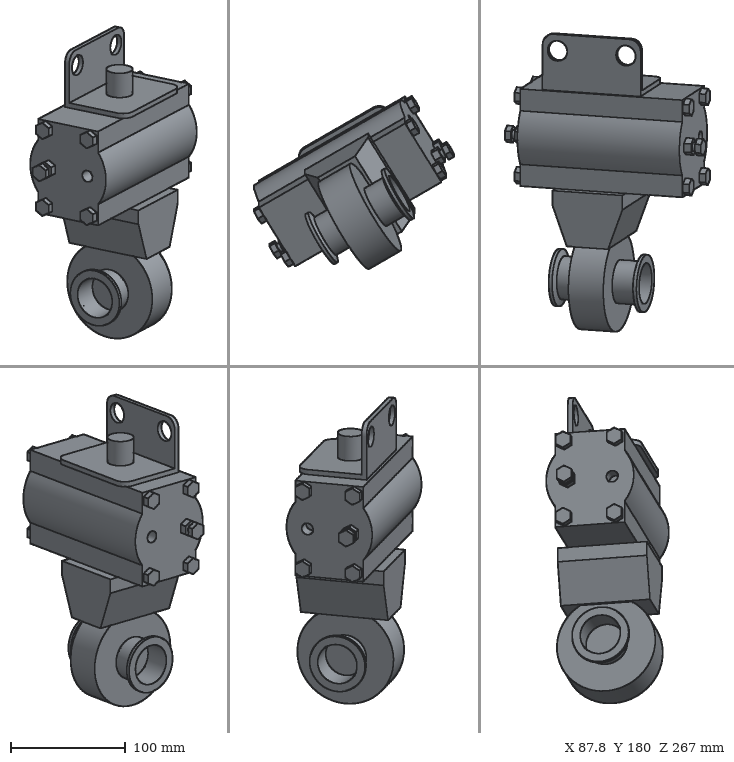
import cadquery as cq
import math


valve_diameter = 87.8
valve_width = 32.0
valve_z = valve_diameter / 2
valve_length = 80.6
tube_diameter = 38.2
bore_diameter = 35.8
bore_depth = (valve_length - valve_width) / 2
flange_diameter = 50.5
flange_rim = 3.2
flange_taper = 2.1

block_length = 79.5
block_top_width = 64.3
block_bottom_width = 38.0
block_bottom_z = 81.2
block_shoulder_height = 36.0
block_height = 48.9
block_top_z = block_bottom_z + block_height

actuator_y = -10.0
actuator_length = 148.7
actuator_width = 62.0
actuator_height = 86.8
cylinder_diameter = 78.2
actuator_z = block_top_z + actuator_height / 2
actuator_top_z = block_top_z + actuator_height

hex_across_flats = 13.0
hex_across_corners = hex_across_flats * 2 / math.sqrt(3)
bolt_head_height = 6.0
bolt_spacing_x = 45.7
bolt_spacing_z = 71.0
screw_to_port = 39.8
lock_nut_height = 6.7
screw_diameter = 8.0
screw_gap = 3.5
overall_length = 180.0
screw_head_height = (overall_length - actuator_length) / 2 - lock_nut_height - screw_gap
port_diameter = 10.5
port_depth = 13.4

stem_diameter = 23.0
stem_top_z = 243.8

bracket_thickness = 4.5
bracket_left_x = -28.0
bracket_right_x = 35.5
bracket_width = 90.0
bracket_top_z = 267.0
bracket_corner_radius = 10.0
bracket_hole_diameter = 18.0
bracket_hole_spacing = 62.7
bracket_hole_drop = 14.7


def make_valve():
    """Valve disc, flat where it meets the block, with a blind-bored ferrule on each side."""
    disc = (
        cq.Workplane("XZ", origin=(0, valve_width / 2, valve_z))
        .circle(valve_diameter / 2)
        .extrude(valve_width)
    )
    above_flat = cq.Workplane("XY", origin=(0, 0, block_bottom_z)).box(
        valve_diameter, valve_width, valve_diameter, centered=(True, True, False)
    )
    end_y = valve_length / 2
    rim_y = end_y - flange_rim
    taper_y = rim_y - flange_taper
    ferrule = (
        cq.Workplane("XY", origin=(0, 0, valve_z))
        .polyline([
            (0, 0),
            (tube_diameter / 2, 0),
            (tube_diameter / 2, taper_y),
            (flange_diameter / 2, rim_y),
            (flange_diameter / 2, end_y),
            (0, end_y),
        ])
        .close()
        .revolve(360, (0, 0, 0), (0, 1, 0))
    )
    bore = (
        cq.Workplane("XZ", origin=(0, end_y, valve_z))
        .circle(bore_diameter / 2)
        .extrude(bore_depth)
    )
    body = disc.cut(above_flat).union(ferrule).union(ferrule.mirror("XZ"))
    return body.cut(bore).cut(bore.mirror("XZ"))


def make_block():
    """Block along X whose sides taper in towards the valve."""
    shoulder_z = block_bottom_z + block_shoulder_height
    return (
        cq.Workplane("YZ", origin=(-block_length / 2, 0, 0))
        .polyline([
            (-block_bottom_width / 2, block_bottom_z),
            (block_bottom_width / 2, block_bottom_z),
            (block_top_width / 2, shoulder_z),
            (block_top_width / 2, block_top_z),
            (-block_top_width / 2, block_top_z),
            (-block_top_width / 2, shoulder_z),
        ])
        .close()
        .extrude(block_length)
    )


def end_plane(distance, x=0):
    """Plane facing -Y, at the given distance in front of the actuator's middle."""
    return cq.Workplane("XZ", origin=(x, actuator_y - distance, actuator_z))


def hexagon(distance, height, points):
    """Hexagonal heads with a corner pointing up, standing out towards -Y."""
    head = cq.Sketch().regularPolygon(hex_across_corners / 2, 6)
    return end_plane(distance).pushPoints(points).placeSketch(head).extrude(height)


def make_end_fittings():
    """Cover bolt heads and stop screw on the -Y end face."""
    face = actuator_length / 2
    bolt_points = [
        (side * bolt_spacing_x / 2, level * bolt_spacing_z / 2)
        for side in (-1, 1)
        for level in (-1, 1)
    ]
    screw_point = [(-screw_to_port / 2, 0)]
    neck_start = face + lock_nut_height
    bolts = hexagon(face, bolt_head_height, bolt_points)
    lock_nut = hexagon(face, lock_nut_height, screw_point)
    neck = end_plane(neck_start).pushPoints(screw_point).circle(screw_diameter / 2).extrude(screw_gap)
    screw_head = hexagon(neck_start + screw_gap, screw_head_height, screw_point)
    return bolts.union(lock_nut).union(neck).union(screw_head)


def mirror_to_back(shape):
    """The same shape on the +Y end of the actuator."""
    return shape.mirror("XZ", (0, actuator_y, 0))


def make_actuator():
    """Housing with its stem, end fittings and a blind air port in each end face."""
    face = actuator_length / 2
    box = end_plane(-face).rect(actuator_width, actuator_height).extrude(actuator_length)
    cylinder = end_plane(-face).circle(cylinder_diameter / 2).extrude(actuator_length)
    stem = (
        cq.Workplane("XY", origin=(0, 0, actuator_z))
        .circle(stem_diameter / 2)
        .extrude(stem_top_z - actuator_z)
    )
    fittings = make_end_fittings()
    port = end_plane(face, screw_to_port / 2).circle(port_diameter / 2).extrude(-port_depth)
    housing = box.union(cylinder).union(stem).union(fittings).union(mirror_to_back(fittings))
    return housing.cut(port).cut(mirror_to_back(port))


def make_bracket():
    """L-shaped plate with rounded free corners, two mounting holes and a hole for the stem."""
    foot_length = bracket_right_x - bracket_left_x
    upright_height = bracket_top_z - actuator_top_z
    foot = (
        cq.Workplane("XY", origin=(bracket_left_x, 0, actuator_top_z))
        .box(foot_length, bracket_width, bracket_thickness, centered=(False, True, False))
        .edges("|Z and >X")
        .fillet(bracket_corner_radius)
        .cut(
            cq.Workplane("XY", origin=(0, 0, actuator_top_z))
            .circle(stem_diameter / 2)
            .extrude(bracket_thickness)
        )
    )
    upright = (
        cq.Workplane("XY", origin=(bracket_left_x, 0, actuator_top_z))
        .box(bracket_thickness, bracket_width, upright_height, centered=(False, True, False))
        .edges("|X and >Z")
        .fillet(bracket_corner_radius)
    )
    holes = (
        cq.Workplane("YZ", origin=(bracket_left_x, 0, bracket_top_z - bracket_hole_drop))
        .pushPoints([(-bracket_hole_spacing / 2, 0), (bracket_hole_spacing / 2, 0)])
        .circle(bracket_hole_diameter / 2)
        .extrude(bracket_thickness)
    )
    return foot.union(upright).cut(holes)


valve = make_valve()
block = make_block()
actuator = make_actuator()
bracket = make_bracket()

result = cq.Compound.makeCompound([valve.val(), block.val(), actuator.val(), bracket.val()])